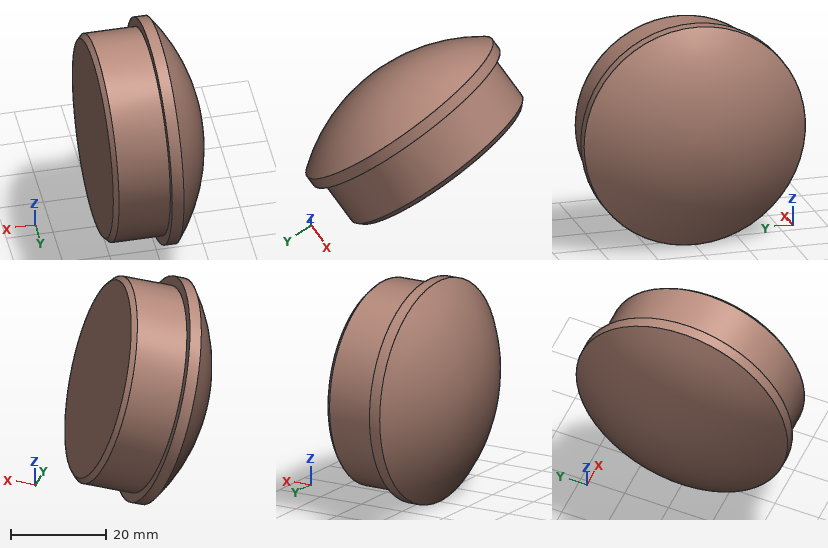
import cadquery as cq
import math

flange_diameter = 48.3
flange_thickness = 2.5
dome_height = 8.5
plug_diameter = 44.3
plug_length = 12.0
plug_chamfer = 1.0

flange_radius = flange_diameter / 2
plug_radius = plug_diameter / 2
plug_end = flange_thickness + plug_length

sphere_radius = (flange_radius**2 + dome_height**2) / (2 * dome_height)
sphere_center_x = sphere_radius - dome_height


def dome_arc_midpoint():
    """Point halfway along the dome arc, between the apex and the rim."""
    half_angle = math.asin(flange_radius / sphere_radius) / 2
    x = sphere_center_x - sphere_radius * math.cos(half_angle)
    radius = sphere_radius * math.sin(half_angle)
    return (x, radius)


def make_end_plug():
    """Revolve the half section: dome, flange and chamfered plug."""
    half_section = (
        cq.Workplane("XY")
        .moveTo(-dome_height, 0)
        .threePointArc(dome_arc_midpoint(), (0, flange_radius))
        .lineTo(flange_thickness, flange_radius)
        .lineTo(flange_thickness, plug_radius)
        .lineTo(plug_end - plug_chamfer, plug_radius)
        .lineTo(plug_end, plug_radius - plug_chamfer)
        .lineTo(plug_end, 0)
        .close()
    )
    return half_section.revolve(360, (0, 0, 0), (1, 0, 0))


result = make_end_plug()